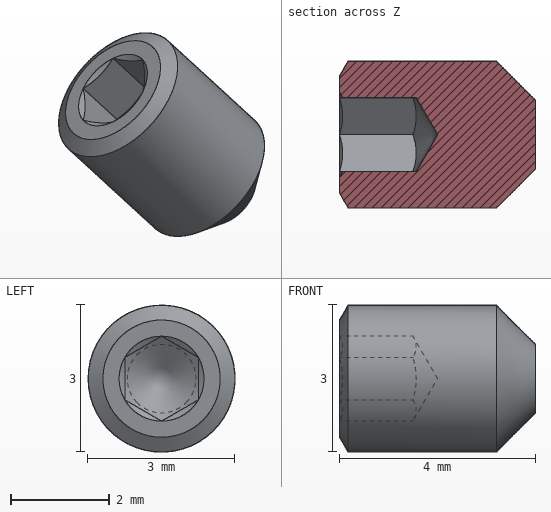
import cadquery as cq
import math

length = 4.0
body_radius = 3.0 / 2
socket_end_radius = 1.195
socket_end_slope = math.radians(30)
point_length = 0.8
tip_radius = body_radius - point_length

across_flats = 1.5
corner_radius = across_flats / math.sqrt(3)
socket_depth = 1.5
mouth_slope = math.radians(30)
floor_slope = math.radians(30)


def make_body():
    """Cylinder with a bevelled socket end and a truncated cone point."""
    bevel_length = (body_radius - socket_end_radius) * math.tan(socket_end_slope)
    profile = [
        (0, 0),
        (0, socket_end_radius),
        (bevel_length, body_radius),
        (length - point_length, body_radius),
        (length, tip_radius),
        (length, 0),
    ]
    return cq.Workplane("XY").polyline(profile).close().revolve(360, (0, 0), (1, 0))


def make_cone(start, slope):
    """Cone as wide as the hexagon corners at X = start, narrowing toward +X."""
    cone_depth = corner_radius * math.tan(slope)
    profile = [(start, 0), (start, corner_radius), (start + cone_depth, 0)]
    return cq.Workplane("XY").polyline(profile).close().revolve(360, (0, 0), (1, 0))


def make_socket():
    """Hexagonal hole with two corners on the Z axis, a countersunk mouth and a conical floor."""
    corners = []
    for index in range(6):
        angle = math.radians(90 + 60 * index)
        corners.append((corner_radius * math.cos(angle), corner_radius * math.sin(angle)))
    hexagon = cq.Workplane("YZ").polyline(corners).close().extrude(length)
    straight_bore = cq.Workplane("YZ").circle(corner_radius).extrude(socket_depth)
    drilled_hole = straight_bore.union(make_cone(socket_depth, floor_slope))
    return hexagon.intersect(drilled_hole).union(make_cone(0, mouth_slope))


result = make_body().cut(make_socket())